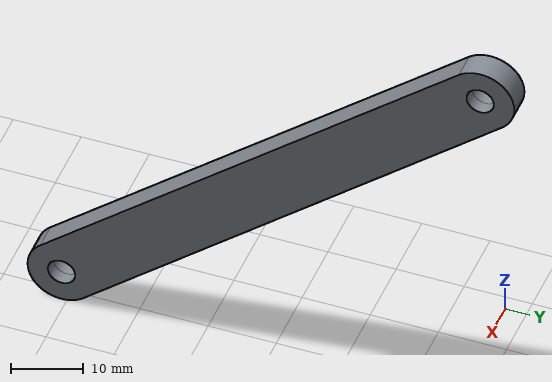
import cadquery as cq
import math

thickness = 4.0
length_y = 71.45
height_z = 61.2

end_radius = 5.0
hole_diameter = 4.0

pivot_span_y = length_y - 2 * end_radius
pivot_span_z = height_z - 2 * end_radius
pivot_distance = math.hypot(pivot_span_y, pivot_span_z)
slant_angle = math.degrees(math.atan2(pivot_span_z, pivot_span_y))

link = (
    cq.Workplane("YZ")
    .slot2D(pivot_distance + 2 * end_radius, 2 * end_radius, slant_angle)
    .extrude(thickness / 2, both=True)
)

pivots = [(side * pivot_span_y / 2, side * pivot_span_z / 2) for side in (-1, 1)]
holes = (
    cq.Workplane("YZ")
    .pushPoints(pivots)
    .circle(hole_diameter / 2)
    .extrude(thickness, both=True)
)

result = link.cut(holes)